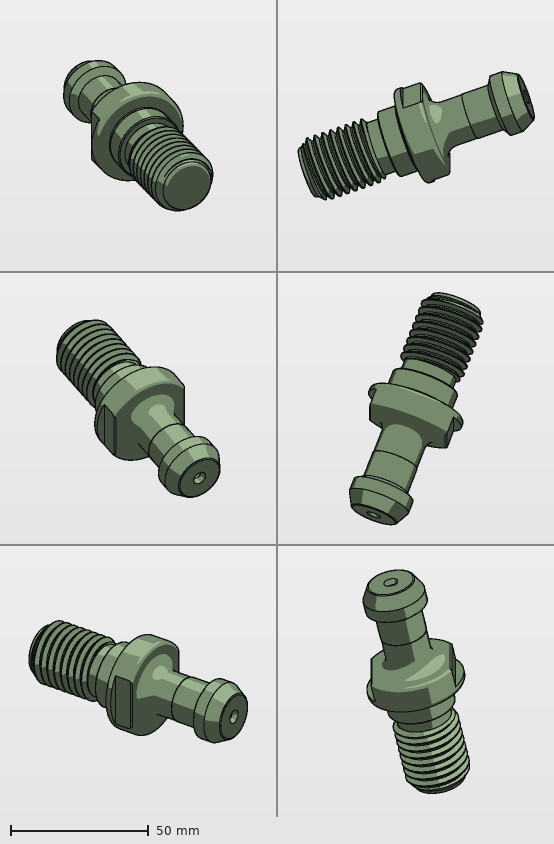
import cadquery as cq
import math

total_length = 85.0
head_cone_end = 5.3
head_end = 9.95
neck_start = 11.7
neck_step = 21.8
flange_start = 34.85
flange_end = 44.9
flat_end = 42.1
relief_taper_start = 45.8
relief_end = 46.1
pilot_end = 53.1
thread_start = 57.9

nose_radius = 8.8
head_radius = 11.5
neck_radius = 8.6
rear_neck_radius = 8.4
flange_radius = 18.0
pilot_radius = 12.5
relief_radius = 12.3
undercut_radius = 10.0

nose_chamfer = 0.5
neck_fillet = 5.0
flange_fillet = 1.45
pilot_chamfer = 0.4

flat_half_width = 15.0
flat_edge_chamfer = 0.5

hole_radius = 1.45
hole_mouth_radius = 2.55
hole_mouth_angle = 60.0
hole_depth = 5.1
drill_point_angle = 118.0

pitch = 3.0
crest_radius = 12.0
root_radius = 10.2
crest_flat = pitch / 8
flank_half_angle = 30.0
crest_at_top = 60.2
lead_in_length = 1.1
tip_radius = 9.5
tip_start = 83.55
tip_fillet = 1.0


def revolve_about_x(profile):
    return profile.close().revolve(360, (0, 0, 0), (1, 0, 0))


def make_body():
    fillet_middle = neck_fillet * math.sqrt(0.5)
    fillet_top = rear_neck_radius + neck_fillet
    edge_middle = flange_fillet * (1 - math.sqrt(0.5))
    profile = (
        cq.Workplane("XY")
        .lineTo(0, nose_radius - nose_chamfer)
        .lineTo(nose_chamfer / 2, nose_radius)
        .lineTo(head_cone_end, head_radius)
        .lineTo(head_end, head_radius)
        .lineTo(neck_start, neck_radius)
        .lineTo(neck_step, neck_radius)
        .lineTo(neck_step, rear_neck_radius)
        .lineTo(flange_start - neck_fillet, rear_neck_radius)
        .threePointArc(
            (flange_start - neck_fillet + fillet_middle, fillet_top - fillet_middle),
            (flange_start, fillet_top),
        )
        .lineTo(flange_start, flange_radius - flange_fillet)
        .threePointArc(
            (flange_start + edge_middle, flange_radius - edge_middle),
            (flange_start + flange_fillet, flange_radius),
        )
        .lineTo(flange_end - flange_fillet, flange_radius)
        .threePointArc(
            (flange_end - edge_middle, flange_radius - edge_middle),
            (flange_end, flange_radius - flange_fillet),
        )
        .lineTo(flange_end, relief_radius)
        .lineTo(relief_taper_start, relief_radius)
        .lineTo(relief_end, pilot_radius)
        .lineTo(pilot_end - pilot_chamfer, pilot_radius)
        .lineTo(pilot_end, pilot_radius - pilot_chamfer)
        .lineTo(pilot_end, undercut_radius)
        .lineTo(thread_start, undercut_radius)
        .lineTo(thread_start, 0)
    )
    return revolve_about_x(profile)


def make_flat_cutter(side):
    """Region removed beyond one wrench flat; side is +1 or -1 along Y."""
    outside = flange_radius + 0.85
    cutter = (
        cq.Workplane("XY")
        .moveTo(flange_start, side * (flat_half_width - flat_edge_chamfer))
        .lineTo(flange_start + flat_edge_chamfer, side * flat_half_width)
        .lineTo(flat_end, side * flat_half_width)
        .lineTo(flat_end, side * outside)
        .lineTo(flange_start, side * outside)
        .close()
    )
    return cutter.extrude(outside, both=True)


def make_centre_hole():
    point_length = hole_radius / math.tan(math.radians(drill_point_angle / 2))
    mouth_slope = math.tan(math.radians(hole_mouth_angle / 2))
    mouth_depth = (hole_mouth_radius - hole_radius) / mouth_slope
    profile = (
        cq.Workplane("XY")
        .lineTo(0, hole_mouth_radius)
        .lineTo(mouth_depth, hole_radius)
        .lineTo(hole_depth, hole_radius)
        .lineTo(hole_depth + point_length, 0)
    )
    return revolve_about_x(profile)


def make_thread_blank():
    """Outline of the threaded length without its groove, tapered at both ends."""
    edge_middle = tip_fillet * (1 - math.sqrt(0.5))
    taper_start = tip_start - (crest_radius - tip_radius)
    profile = (
        cq.Workplane("XY")
        .moveTo(thread_start, 0)
        .lineTo(thread_start, undercut_radius)
        .lineTo(thread_start + lead_in_length, crest_radius)
        .lineTo(taper_start, crest_radius)
        .lineTo(tip_start, tip_radius)
        .lineTo(total_length - tip_fillet, tip_radius)
        .threePointArc(
            (total_length - edge_middle, tip_radius - edge_middle),
            (total_length, tip_radius - tip_fillet),
        )
        .lineTo(total_length, 0)
    )
    return revolve_about_x(profile)


def make_thread_groove():
    """Helical V groove, overrunning both ends of the thread."""
    overrun = 0.2
    cutter_radius = crest_radius + overrun
    slope = math.tan(math.radians(flank_half_angle))
    crest_half_gap = (pitch - crest_flat) / 2
    root_half_gap = crest_half_gap - (crest_radius - root_radius) * slope
    outer_half_gap = crest_half_gap + overrun * slope

    first_groove = crest_at_top - 1.5 * pitch
    turns = math.ceil((total_length - first_groove) / pitch)
    helix = cq.Wire.makeHelix(pitch, turns * pitch, root_radius)
    groove = (
        cq.Workplane("XZ")
        .moveTo(root_radius, -root_half_gap)
        .lineTo(cutter_radius, -outer_half_gap)
        .lineTo(cutter_radius, outer_half_gap)
        .lineTo(root_radius, root_half_gap)
        .close()
        .sweep(cq.Workplane(obj=helix), isFrenet=True)
    )
    return (
        groove.rotate((0, 0, 0), (0, 1, 0), 90)
        .rotate((0, 0, 0), (1, 0, 0), 180)
        .translate((first_groove, 0, 0))
    )


def make_thread():
    """Groove a plain bar, then trim it to the tapered outline of the blank."""
    bar_overhang = 2 * pitch
    bar_length = total_length - thread_start + 2 * bar_overhang
    bar = (
        cq.Workplane("YZ")
        .workplane(offset=thread_start - bar_overhang)
        .circle(crest_radius)
        .extrude(bar_length)
    )
    return bar.cut(make_thread_groove()).intersect(make_thread_blank())


body = make_body()
for side in (-1, 1):
    body = body.cut(make_flat_cutter(side))
body = body.cut(make_centre_hole())

result = body.union(make_thread())